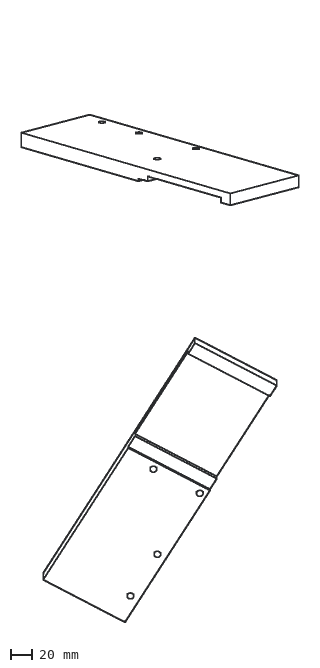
import cadquery as cq

length = 288.2
width = 90.0
height = 14.5

thick_length = 161.5
step_length = 13.0
end_lip_length = 13.0
step_rise = 2.5
thin_thickness = 7.0

hole_diameter = 6.3

row_start_x = 26.8
row_spacing = 51.0
row_y = width - 9.5

column_x = 154.0
column_top_y = width - 7.0
column_spacing = 51.0


def stepped_plate():
    """Side outline with a recessed underside, extruded across the width."""
    recess_start_x = thick_length + step_length
    recess_end_x = length - end_lip_length
    recess_z = height - thin_thickness
    outline = [
        (0, 0),
        (thick_length, 0),
        (thick_length, step_rise),
        (recess_start_x, step_rise),
        (recess_start_x, recess_z),
        (recess_end_x, recess_z),
        (recess_end_x, step_rise),
        (length, step_rise),
        (length, height),
        (0, height),
    ]
    return cq.Workplane("XZ").polyline(outline).close().extrude(-width)


def through_holes():
    """Vertical cutters for all four holes."""
    centers = [
        (row_start_x, row_y),
        (row_start_x + row_spacing, row_y),
        (column_x, column_top_y),
        (column_x, column_top_y - column_spacing),
    ]
    return cq.Workplane("XY").pushPoints(centers).circle(hole_diameter / 2).extrude(height)


result = stepped_plate().cut(through_holes())